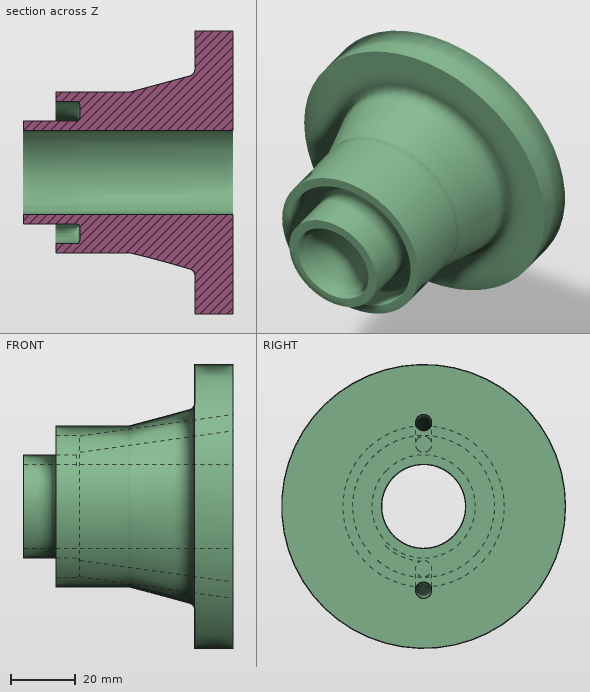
import cadquery as cq
import math

total_length = 65.0
flange_thickness = 12.0
spigot_length = 10.1
barrel_length = 22.9
tip_x = -total_length / 2
back_x = total_length / 2
flange_x = back_x - flange_thickness
barrel_x = tip_x + spigot_length
cone_x = barrel_x + barrel_length

flange_radius = 88 / 2
barrel_radius = 50.0 / 2
spigot_radius = 32.0 / 2
bore_radius = 26.0 / 2
cone_end_radius = 60.0 / 2

neck_fillet = 2.0
cone_end_x = flange_x - 1.5

groove_radius = 44 / 2
groove_depth = 7.3
groove_fillet = 1.0
groove_floor_x = barrel_x + groove_depth

passage_diameter = 5.0
passage_pitch_radius = 38.5 / 2
passage_tilt = 8.0
passage_run_out = 1.3


def make_body():
    """Revolve the spigot, barrel, flared neck and flange around X."""
    flare_angle = math.atan2(cone_end_radius - barrel_radius, cone_end_x - cone_x)
    blend_middle_angle = flare_angle / 2 - math.pi / 4
    blend_center_x = flange_x - neck_fillet
    blend_center_radius = cone_end_radius + neck_fillet * math.cos(flare_angle)
    blend_middle = (
        blend_center_x + neck_fillet * math.cos(blend_middle_angle),
        blend_center_radius + neck_fillet * math.sin(blend_middle_angle),
    )
    profile = (
        cq.Workplane("XY")
        .moveTo(tip_x, bore_radius)
        .lineTo(tip_x, spigot_radius)
        .lineTo(groove_floor_x - groove_fillet, spigot_radius)
        .radiusArc((groove_floor_x, spigot_radius + groove_fillet), -groove_fillet)
        .lineTo(groove_floor_x, groove_radius - groove_fillet)
        .radiusArc((groove_floor_x - groove_fillet, groove_radius), -groove_fillet)
        .lineTo(barrel_x, groove_radius)
        .lineTo(barrel_x, barrel_radius)
        .lineTo(cone_x, barrel_radius)
        .lineTo(cone_end_x, cone_end_radius)
        .threePointArc(blend_middle, (flange_x, blend_center_radius))
        .lineTo(flange_x, flange_radius)
        .lineTo(back_x, flange_radius)
        .lineTo(back_x, bore_radius)
        .close()
    )
    return profile.revolve(360, (0, 0, 0), (1, 0, 0))


def make_passage(side):
    """Straight hole from the groove floor, leaning outward until it exits the back face."""
    slope = math.tan(math.radians(passage_tilt))
    start_x = groove_floor_x - passage_run_out
    start_z = side * (passage_pitch_radius - passage_run_out * slope)
    length = (back_x + passage_run_out - start_x) / math.cos(math.radians(passage_tilt))
    axis = cq.Vector(1, 0, side * slope)
    start = cq.Vector(start_x, 0, start_z)
    return cq.Workplane(cq.Solid.makeCylinder(passage_diameter / 2, length, start, axis))


result = make_body()
for side in (1, -1):
    result = result.cut(make_passage(side))